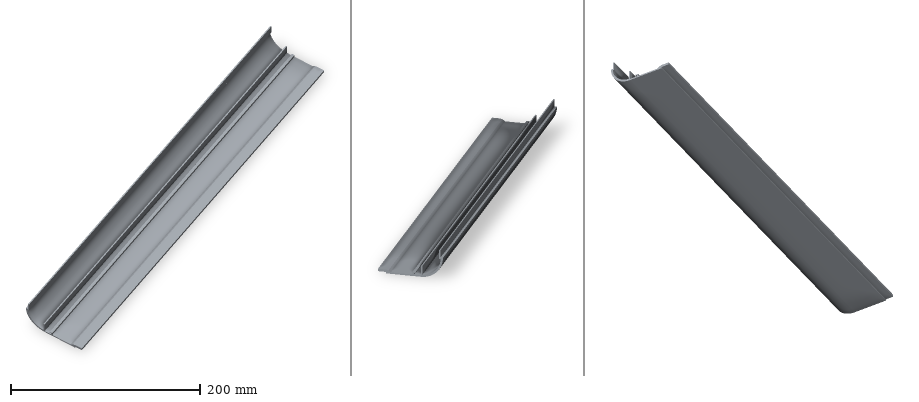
import cadquery as cq
import math

length = 459.8
width = 71.3
height = 32.0

outer_radius = 24.0
curve_wall = 2.5
inner_radius = outer_radius - curve_wall

ledge_top = outer_radius
flange_bottom = 22.0
flange_left = 2.8
flange_thickness = 1.5
flange_right = flange_left + flange_thickness

inner_curve_end = outer_radius - math.sqrt(inner_radius**2 - (outer_radius - flange_bottom) ** 2)

floor_thickness = 1.6
floor_right = 62.5
rib_left = 22.5
rib_thickness = 1.5
rib_right = rib_left + rib_thickness
rib_top = 12.5

shoulder_left = 20.5
shoulder_height = outer_radius - math.sqrt(inner_radius**2 - (outer_radius - shoulder_left) ** 2)

hook_left = 30.5
hook_right = 33.5
hook_stem = 1.6
hook_top = 4.35
hook_cap = 1.0

lip_thickness = 2.8
lip_top = 4.35
lip_bottom = lip_top - lip_thickness
ramp_left = 57.0
ramp_bend = 59.8
ramp_bend_height = 3.5


def arc_middle(radius):
    """Halfway point of a quarter arc about the curved wall's centre."""
    offset = radius * math.sqrt(0.5)
    return (outer_radius - offset, outer_radius - offset)


section = (
    cq.Workplane("XZ", origin=(0, length / 2, 0))
    .moveTo(0, ledge_top)
    .threePointArc(arc_middle(outer_radius), (outer_radius, 0))
    .lineTo(floor_right, 0)
    .lineTo(floor_right, lip_bottom)
    .lineTo(width, lip_bottom)
    .lineTo(width, lip_top)
    .lineTo(floor_right, lip_top)
    .lineTo(ramp_bend, ramp_bend_height)
    .lineTo(ramp_left, floor_thickness)
    .lineTo(hook_right, floor_thickness)
    .lineTo(hook_right, hook_top)
    .lineTo(hook_left, hook_top)
    .lineTo(hook_left, hook_top - hook_cap)
    .lineTo(hook_right - hook_stem, hook_top - hook_cap)
    .lineTo(hook_right - hook_stem, floor_thickness)
    .lineTo(rib_right, floor_thickness)
    .lineTo(rib_right, rib_top)
    .lineTo(rib_left, rib_top)
    .lineTo(rib_left, shoulder_height)
    .lineTo(shoulder_left, shoulder_height)
    .threePointArc(arc_middle(inner_radius), (inner_curve_end, flange_bottom))
    .lineTo(flange_right, flange_bottom)
    .lineTo(flange_right, height)
    .lineTo(flange_left, height)
    .lineTo(flange_left, ledge_top)
    .close()
)

result = section.extrude(length)